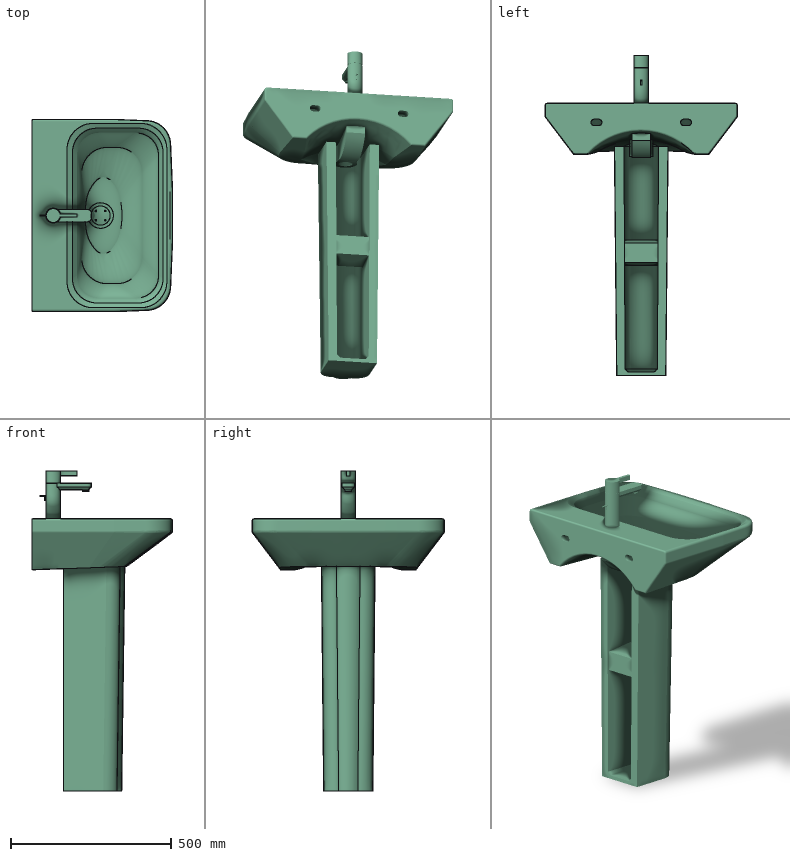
import cadquery as cq
import math

TOTAL_HEIGHT = 999.0

BASIN_WIDTH = 600.0
BASIN_DEPTH = 440.0
RIM_TOP = 850.0
APRON_BOTTOM = 808.0
BASIN_BOTTOM = 690.0
FRONT_BOTTOM_RISE = 11.0
WEDGE_LENGTH = 302.0
UNDERSIDE_DEPTH = 282.0
UNDERSIDE_WIDTH = 421.0
RIM_CORNER = (78.0, 76.0)
RIM_EASE = (98.0, 4.0)
UNDERSIDE_CORNER = (75.0, 100.0)
UNDERSIDE_EASE = (25.0, 3.0)
FRONT_BOW = 7.0
RIM_ROUND = 8.0
CREASE_ROUND = 10.0
BACK_ROUND = 5.0

BOWL_MOUTH = (110.0, 421.0, 575.0, 82.0)
BOWL_LIP = (127.0, 409.0, 545.0, 76.0)
BOWL_LIP_Z = 842.0
BOWL_WALL = (142.0, 395.0, 515.0, 70.0)
BOWL_WALL_Z = 819.0
BOWL_SLOPE = (156.0, 345.0, 425.0, 80.0)
BOWL_SLOPE_Z = 778.0
BOWL_FLOOR = 752.0
BOWL_CENTRE_X = 224.0
BOWL_FLOOR_RADII = (58.0, 119.0)
FLOOR_SPLIT = 20.0

WALL_ARCH = (0, 334.0, 74.0)
DRAIN_ARCH = (160.0, 300.0, 50.0)
PEDESTAL_ARCH = (245.0, 300.0, 46.0)
FRONT_ARCH = (292.0, 160.0, 40.0)
ARCH_OVERRUN = 10.0

SLOT_SPACING = 280.0
SLOT_LENGTH = 34.0
SLOT_HEIGHT = 20.0
SLOT_Z = 790.0
SLOT_DEPTH = 40.0

DRAIN_X = 215.0
FLANGE_DIAMETER = 80.0
FLANGE_THICKNESS = 4.0
TAIL_DIAMETER = 60.0
TAIL_BORE = 44.0
SPIGOT_DIAMETER = 72.0
SPIGOT_BOTTOM = 683.0
PLUG_DIAMETER = 60.0
PLUG_RIM = 3.0
PLUG_CROWN = 4.0
PLUG_HOLE_DIAMETER = 4.0
PLUG_HOLE_SPACING = 29.0

DUCT_WIDTH = 59.0
DUCT_BACK_X = 50.0
DUCT_TOP = 758.0
DUCT_ROOT = 743.0
DUCT_BEND_TOP = 734.0

PEDESTAL_TOP = 715.0
PEDESTAL_BACK_X = 99.0
PEDESTAL_TOP_SIZE = (168.0, 192.0)
PEDESTAL_BOTTOM_SIZE = (154.0, 182.0)
PEDESTAL_CORNER = (33.0, 45.0)
PEDESTAL_BOW = 8.0
PEDESTAL_SIDE_EASE = (9.0, 2.0)
PEDESTAL_FRONT_EASE = (7.0, 9.0)
CHANNEL_TOP_SIZE = (108.0, 160.0)
CHANNEL_BOTTOM_SIZE = (101.0, 151.0)
CHANNEL_CORNER = (20.0, 19.0)
CHANNEL_BOW = 4.0
CHANNEL_FRONT_EASE = (3.0, 9.0)
CHANNEL_FLOOR_CHAMFER = 10.0
CHANNEL_FLOOR = 11.0
SHELF_Z = 384.0
SHELF_FACE_HEIGHT = 60.0
SHELF_ROOT_HEIGHT = 79.0
SHELF_RECESS = 6.0

TAP_X = 67.0
TAP_DIAMETER = 46.0
CAP_HEIGHT = 37.0
NECK_DIAMETER = 44.0
NECK_HEIGHT = 2.0
LEVER_END_X = 142.0
LEVER_WIDTH = 10.0
LEVER_HEIGHT = 15.0
LEVER_ROUND = 3.0
SPOUT_END_X = 186.0
SPOUT_WIDTH = 39.0
SPOUT_TOP = 961.0
SPOUT_HEIGHT = 21.0
SPOUT_BEVEL = 9.0
SPOUT_TIP_ROUND = 12.0
AERATOR_DIAMETER = 20.0
AERATOR_DROP = 5.0
AERATOR_X = 168.0
ROD_DIAMETER = 4.0
ROD_END_X = 25.0
ROD_Z = 921.0
ROD_TAIL_X = 41.0
ROD_TAIL_DROP = 14.0

DIAGONAL = math.sqrt(0.5)


def panel(z, back_x, front_x, width, corner, bow, side_ease=(0, 0), front_ease=(0, 0)):
    """Outline with a straight back, straight sides, round front corners and a bowed front.

    corner is the (x, y) extent of each corner arc. side_ease and front_ease are the (x, y) extents
    of the nearly straight pieces that lead from the side and from the front edge into that arc.
    """
    half = width / 2
    front_end = (front_x - bow, half - side_ease[1] - corner[1] - front_ease[1])
    arc_end = (front_end[0] - front_ease[0], front_end[1] + front_ease[1])
    arc_start = (arc_end[0] - corner[0], arc_end[1] + corner[1])
    arc_middle = (arc_start[0] + corner[0] * DIAGONAL, arc_end[1] + corner[1] * DIAGONAL)
    side_end = (arc_start[0] - side_ease[0], half)

    def mirrored(point):
        return (point[0], -point[1])

    outline = cq.Workplane("XY", origin=(0, 0, z)).moveTo(back_x, -half).lineTo(*mirrored(side_end))
    if any(side_ease):
        outline = outline.lineTo(*mirrored(arc_start))
    outline = outline.threePointArc(mirrored(arc_middle), mirrored(arc_end))
    if any(front_ease):
        outline = outline.lineTo(*mirrored(front_end))
    outline = outline.threePointArc((front_x, 0), front_end)
    if any(front_ease):
        outline = outline.lineTo(*arc_end)
    outline = outline.threePointArc(arc_middle, arc_start)
    if any(side_ease):
        outline = outline.lineTo(*side_end)
    return outline.lineTo(back_x, half).close()


def loft_between(lower, upper):
    """Ruled solid between two closed outlines."""
    return cq.Workplane(cq.Solid.makeLoft([lower.wire().val(), upper.wire().val()], True))


def disc(x, diameter, bottom, height):
    """Upright cylinder on the symmetry plane."""
    return cq.Workplane("XY", origin=(x, 0, bottom)).circle(diameter / 2).extrude(height)


def basin_shell():
    """Vertical apron on a tapering underside, with rounded outer edges."""
    rim_outline = (BASIN_DEPTH, BASIN_WIDTH, RIM_CORNER, FRONT_BOW, RIM_EASE)
    underside_outline = (UNDERSIDE_DEPTH, UNDERSIDE_WIDTH, UNDERSIDE_CORNER, FRONT_BOW, UNDERSIDE_EASE)
    apron = panel(APRON_BOTTOM, 0, *rim_outline).extrude(RIM_TOP - APRON_BOTTOM)
    taper = loft_between(
        panel(BASIN_BOTTOM, 0, *underside_outline), panel(APRON_BOTTOM, 0, *rim_outline)
    )
    wedge = (
        cq.Workplane("XZ")
        .moveTo(0, BASIN_BOTTOM)
        .lineTo(WEDGE_LENGTH, BASIN_BOTTOM + FRONT_BOTTOM_RISE)
        .lineTo(WEDGE_LENGTH, BASIN_BOTTOM)
        .close()
        .extrude(BASIN_WIDTH / 2, both=True)
    )
    shell = apron.union(taper)
    margin = 1.0
    crease = cq.selectors.BoxSelector(
        (margin, -BASIN_WIDTH, APRON_BOTTOM - margin),
        (BASIN_DEPTH + margin, BASIN_WIDTH, APRON_BOTTOM + margin),
    )
    shell = shell.edges(crease).fillet(CREASE_ROUND)
    shell = shell.faces(">Z").edges("not <X").fillet(RIM_ROUND)
    return shell.cut(wedge)


def ring(z, back_x, front_x, width, corner):
    """Rectangle with four round corners, starting at one end of its front side."""
    half = width / 2
    far = half - corner
    inset = corner * (1 - DIAGONAL)
    return (
        cq.Workplane("XY", origin=(0, 0, z))
        .moveTo(front_x, -far)
        .lineTo(front_x, far)
        .threePointArc((front_x - inset, half - inset), (front_x - corner, half))
        .lineTo(back_x + corner, half)
        .threePointArc((back_x + inset, half - inset), (back_x, far))
        .lineTo(back_x, -far)
        .threePointArc((back_x + inset, inset - half), (back_x + corner, -half))
        .lineTo(front_x - corner, -half)
        .threePointArc((front_x - inset, inset - half), (front_x, -far))
        .wire()
        .val()
    )


def floor_oval():
    """Ellipse cut into eight pieces that face the sides and corners of the rings."""
    radius_x, radius_y = BOWL_FLOOR_RADII
    quarters = (0, 90, 180, 270)
    angles = [quarter + side for quarter in quarters for side in (-FLOOR_SPLIT, FLOOR_SPLIT)]

    def at(angle):
        turn = math.radians(angle)
        return (BOWL_CENTRE_X + radius_x * math.cos(turn), radius_y * math.sin(turn))

    oval = cq.Workplane("XY", origin=(0, 0, BOWL_FLOOR)).moveTo(*at(angles[0]))
    for start, end in zip(angles, angles[1:] + [angles[0] + 360]):
        oval = oval.threePointArc(at((start + end) / 2), at(end))
    return oval.wire().val()


def bowl_cavity():
    """Bowl: round-cornered rings that shrink down to a flat oval floor."""
    mouth = ring(RIM_TOP, *BOWL_MOUTH)
    lip = ring(BOWL_LIP_Z, *BOWL_LIP)
    wall = ring(BOWL_WALL_Z, *BOWL_WALL)
    slope = ring(BOWL_SLOPE_Z, *BOWL_SLOPE)
    return cq.Workplane(cq.Solid.makeLoft([floor_oval(), slope, wall, lip, mouth], True))


def arch(x, width, height):
    """Arched outline standing across the basin at x."""
    base = BASIN_BOTTOM - ARCH_OVERRUN
    return (
        cq.Workplane("YZ", origin=(x, 0, 0))
        .moveTo(-width / 2, base)
        .lineTo(-width / 2, BASIN_BOTTOM)
        .threePointArc((0, BASIN_BOTTOM + height), (width / 2, BASIN_BOTTOM))
        .lineTo(width / 2, base)
        .close()
    )


def underside_hollow():
    """Arched space under the basin, lower towards the front."""
    arches = [WALL_ARCH, DRAIN_ARCH, PEDESTAL_ARCH, FRONT_ARCH]
    return cq.Workplane(cq.Solid.makeLoft([arch(*sizes).wire().val() for sizes in arches], True))


def overflow_duct():
    """Box behind the drain whose lower side curves down to the spigot."""
    bend_end = DRAIN_X - SPIGOT_DIAMETER / 2
    bend_middle = (
        bend_end - (bend_end - DUCT_BACK_X) * DIAGONAL,
        DUCT_BEND_TOP - (DUCT_BEND_TOP - SPIGOT_BOTTOM) * DIAGONAL,
    )
    return (
        cq.Workplane("XZ")
        .moveTo(DRAIN_X, DUCT_ROOT)
        .lineTo(bend_end, DUCT_ROOT)
        .lineTo(DUCT_BACK_X, DUCT_TOP)
        .lineTo(DUCT_BACK_X, DUCT_BEND_TOP)
        .threePointArc(bend_middle, (bend_end, SPIGOT_BOTTOM))
        .lineTo(DRAIN_X, SPIGOT_BOTTOM)
        .close()
        .extrude(DUCT_WIDTH / 2, both=True)
    )


def make_basin():
    """Hollowed basin with its bowl, wall slots, overflow duct and drain spigot."""
    slots = (
        cq.Workplane("YZ", origin=(0, 0, SLOT_Z))
        .pushPoints([(-SLOT_SPACING / 2, 0), (SLOT_SPACING / 2, 0)])
        .slot2D(SLOT_LENGTH, SLOT_HEIGHT)
        .extrude(SLOT_DEPTH)
    )
    spigot = disc(DRAIN_X, SPIGOT_DIAMETER, SPIGOT_BOTTOM, DUCT_ROOT - SPIGOT_BOTTOM)
    flange_seat = disc(DRAIN_X, FLANGE_DIAMETER, BOWL_FLOOR - FLANGE_THICKNESS, FLANGE_THICKNESS)
    tail_hole = disc(DRAIN_X, TAIL_DIAMETER, SPIGOT_BOTTOM, BOWL_FLOOR - SPIGOT_BOTTOM)
    hollowed = basin_shell().cut(underside_hollow())
    hollowed = hollowed.faces("<X").edges().fillet(BACK_ROUND)
    return (
        hollowed.union(overflow_duct())
        .union(spigot)
        .cut(bowl_cavity())
        .cut(slots)
        .cut(flange_seat)
        .cut(tail_hole)
    )


def make_drain():
    """Flange in the bowl floor with a tail pipe through the spigot."""
    flange = disc(DRAIN_X, FLANGE_DIAMETER, BOWL_FLOOR - FLANGE_THICKNESS, FLANGE_THICKNESS)
    tail = disc(DRAIN_X, TAIL_DIAMETER, SPIGOT_BOTTOM, BOWL_FLOOR - SPIGOT_BOTTOM)
    bore = disc(DRAIN_X, TAIL_BORE, SPIGOT_BOTTOM, BOWL_FLOOR - SPIGOT_BOTTOM)
    return flange.union(tail).cut(bore)


def make_plug():
    """Shallow dome resting on the flange, with four small holes."""
    radius = PLUG_DIAMETER / 2
    dome = (
        cq.Workplane("XZ", origin=(DRAIN_X, 0, BOWL_FLOOR))
        .lineTo(radius, 0)
        .lineTo(radius, PLUG_RIM)
        .threePointArc((radius / 2, PLUG_RIM + PLUG_CROWN * 3 / 4), (0, PLUG_RIM + PLUG_CROWN))
        .close()
        .revolve(360, (0, 0), (0, 1))
    )
    holes = (
        cq.Workplane("XY", origin=(DRAIN_X, 0, BOWL_FLOOR))
        .rect(PLUG_HOLE_SPACING, PLUG_HOLE_SPACING, forConstruction=True)
        .vertices()
        .circle(PLUG_HOLE_DIAMETER / 2)
        .extrude(PLUG_RIM + PLUG_CROWN)
    )
    return dome.cut(holes)


def column(bottom, top, bottom_size, top_size, *front_shape):
    """Tapering column that starts at the pedestal back."""
    outlines = [
        panel(z, PEDESTAL_BACK_X, PEDESTAL_BACK_X + depth, width, *front_shape)
        for z, (width, depth) in ((bottom, bottom_size), (top, top_size))
    ]
    return loft_between(*outlines)


def make_pedestal():
    """Column with a channel open to the back and the top, bridged by a shelf."""
    outside = column(
        0, PEDESTAL_TOP, PEDESTAL_BOTTOM_SIZE, PEDESTAL_TOP_SIZE,
        PEDESTAL_CORNER, PEDESTAL_BOW, PEDESTAL_SIDE_EASE, PEDESTAL_FRONT_EASE,
    )
    channel = column(
        CHANNEL_FLOOR, PEDESTAL_TOP, CHANNEL_BOTTOM_SIZE, CHANNEL_TOP_SIZE,
        CHANNEL_CORNER, CHANNEL_BOW, (0, 0), CHANNEL_FRONT_EASE,
    )
    channel = channel.faces("<Z").edges("not <X").chamfer(CHANNEL_FLOOR_CHAMFER)
    face_x = PEDESTAL_BACK_X + SHELF_RECESS
    root_x = PEDESTAL_BACK_X + min(CHANNEL_BOTTOM_SIZE)
    shelf = (
        cq.Workplane("XZ")
        .moveTo(face_x, SHELF_Z - SHELF_FACE_HEIGHT / 2)
        .lineTo(face_x, SHELF_Z + SHELF_FACE_HEIGHT / 2)
        .lineTo(root_x, SHELF_Z + SHELF_ROOT_HEIGHT / 2)
        .lineTo(root_x, SHELF_Z - SHELF_ROOT_HEIGHT / 2)
        .close()
        .extrude(max(CHANNEL_TOP_SIZE[0], CHANNEL_BOTTOM_SIZE[0]) / 2, both=True)
    )
    return outside.cut(channel).union(shelf)


def make_tap_body():
    """Upright cylinder with a necked top and a bevelled spout."""
    body_height = TOTAL_HEIGHT - CAP_HEIGHT - RIM_TOP
    post = disc(TAP_X, TAP_DIAMETER, RIM_TOP, body_height - NECK_HEIGHT)
    neck = disc(TAP_X, NECK_DIAMETER, RIM_TOP, body_height)
    spout = (
        cq.Workplane("XY", origin=(TAP_X, 0, SPOUT_TOP - SPOUT_HEIGHT))
        .box(SPOUT_END_X - TAP_X, SPOUT_WIDTH, SPOUT_HEIGHT, centered=(False, True, False))
        .edges("|Z and >X")
        .fillet(SPOUT_TIP_ROUND)
        .faces("<Z")
        .edges("not <X")
        .chamfer(SPOUT_BEVEL)
    )
    return post.union(neck).union(spout)


def make_handle():
    """Rotating cap with a slim lever."""
    bottom = TOTAL_HEIGHT - CAP_HEIGHT
    cap = disc(TAP_X, TAP_DIAMETER, bottom, CAP_HEIGHT)
    lever = (
        cq.Workplane("XY", origin=(TAP_X, 0, TOTAL_HEIGHT - LEVER_HEIGHT))
        .box(LEVER_END_X - TAP_X, LEVER_WIDTH, LEVER_HEIGHT, centered=(False, True, False))
        .edges("|Z and >X")
        .fillet(LEVER_ROUND)
    )
    return cap.union(lever)


def make_aerator():
    """Small round outlet under the spout tip."""
    bottom = SPOUT_TOP - SPOUT_HEIGHT - AERATOR_DROP
    return disc(AERATOR_X, AERATOR_DIAMETER, bottom, AERATOR_DROP)


def make_pull_rod():
    """Bent rod behind the tap that lifts the plug."""
    grip = (
        cq.Workplane("YZ", origin=(ROD_END_X, 0, ROD_Z))
        .circle(ROD_DIAMETER / 2)
        .extrude(TAP_X - ROD_END_X)
    )
    tail = disc(ROD_TAIL_X, ROD_DIAMETER, ROD_Z - ROD_TAIL_DROP, ROD_TAIL_DROP)
    tap_post = disc(TAP_X, TAP_DIAMETER, RIM_TOP, TOTAL_HEIGHT - RIM_TOP)
    return grip.union(tail).cut(tap_post)


basin = make_basin()
drain = make_drain()
plug = make_plug()
pedestal = make_pedestal()
tap_body = make_tap_body()
handle = make_handle()
aerator = make_aerator()
pull_rod = make_pull_rod()

parts = [basin, drain, plug, pedestal, tap_body, handle, aerator, pull_rod]
result = cq.Compound.makeCompound([part.val() for part in parts])